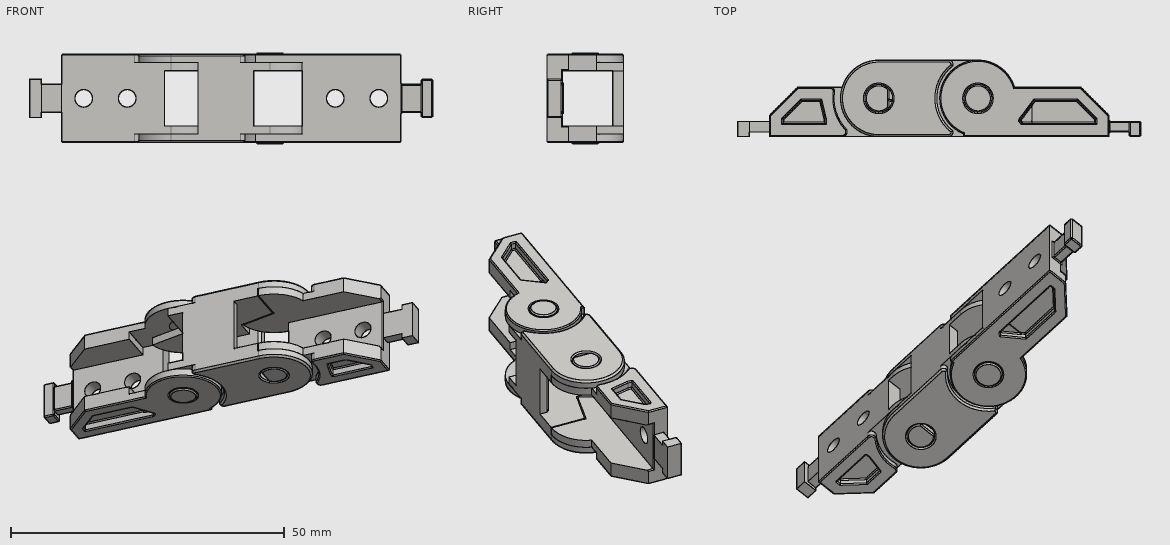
import cadquery as cq
import math


LENGTH = 73.6
HALF_HEIGHT = 8.1
LEAF_SPLIT = 6.55
HALF_OPENING = 5.0

HINGE_RADIUS = 7.0
PIVOT_Y = HINGE_RADIUS
LINK_DEPTH = 2 * HINGE_RADIUS
LEFT_PIVOT_X = 25.75
PIVOT_SPACING = 18.1
RIGHT_PIVOT_X = LEFT_PIVOT_X + PIVOT_SPACING
STOP_ANGLE = 13.0
STOP_GAP = 0.2

PIN_RADIUS = 2.54
PIN_CHAMFER = 0.26
LEFT_PIN_FLAT = 1.85
RIGHT_PIN_PROTRUSION = 0.2

PLATE_END = 5.8
PLATE_DEPTH = 9.05
PLATE_WALL = 2.9
CORNER_CUT = 5.15
EDGE_CHAMFER = 0.2
CHAMFER_ANGLE = 45
LEFT_WALL_END_X = LEFT_PIVOT_X - 1.1
RIGHT_WALL_START_X = RIGHT_PIVOT_X + 5.9
RIGHT_STEP_X = RIGHT_PIVOT_X + 9.85
RIGHT_LEAF_CORNER_X = RIGHT_PIVOT_X - 2.65
LEFT_STEP_RADIUS = 8.2
LEFT_STEP_WALL_X = LEFT_PIVOT_X - 5.8

HOLE_DIAMETER = 3.2
HOLE_END_DISTANCE = 9.85
HOLE_SPACING = 7.95

LINK_WALL = 2.0
LINK_WALL_CHAMFER = 0.5
LINK_EDGE_CHAMFER = 0.4
LINK_WALL_START_X = LEFT_PIVOT_X + 4.9
LINK_WALL_END_X = RIGHT_PIVOT_X - 2.95
LINK_INNER_STEP_X = LEFT_PIVOT_X + 7.15
LINK_STEP_RADIUS = 7.5
LINK_STEP_WALL_X = RIGHT_PIVOT_X - 4.6
STEP_ROUNDING = 0.8

HOOK_HEAD_LENGTH = 2.1
HOOK_HEAD_DEPTH = 2.8
HOOK_HEAD_HEIGHT = 7.0
HOOK_NECK_FRONT = 0.8
HOOK_NECK_HEIGHT = 5.15

POCKET_DEPTH = HALF_HEIGHT - LEAF_SPLIT
POCKET_FRONT = 2.4
POCKET_BACK = 6.6
POCKET_SHOULDER = 3.25
POCKET_END_DISTANCE = 8.25
POCKET_SLANT = POCKET_BACK - POCKET_SHOULDER
LEDGE_HEIGHT = 0.2
LEFT_POCKET_FRONT_X = 16.0
LEFT_POCKET_BACK_X = 15.15
RIGHT_POCKET_FRONT_X = 51.9
RIGHT_POCKET_BACK_X = 54.2
RIGHT_POCKET_TIP_X = 51.45
RIGHT_POCKET_TIP_Y = 2.95
LEFT_POCKET_POINTS = [
    (POCKET_END_DISTANCE, POCKET_FRONT),
    (LEFT_POCKET_FRONT_X, POCKET_FRONT),
    (LEFT_POCKET_FRONT_X, POCKET_SHOULDER),
    (LEFT_POCKET_BACK_X, POCKET_BACK),
    (POCKET_END_DISTANCE + POCKET_SLANT, POCKET_BACK),
    (POCKET_END_DISTANCE, POCKET_SHOULDER),
]
RIGHT_POCKET_POINTS = [
    (RIGHT_POCKET_FRONT_X, POCKET_FRONT),
    (LENGTH - POCKET_END_DISTANCE, POCKET_FRONT),
    (LENGTH - POCKET_END_DISTANCE, POCKET_SHOULDER),
    (LENGTH - POCKET_END_DISTANCE - POCKET_SLANT, POCKET_BACK),
    (RIGHT_POCKET_BACK_X, POCKET_BACK),
    (RIGHT_POCKET_TIP_X, RIGHT_POCKET_TIP_Y),
]


def block(x_range, y_range, z_range):
    """Box between the given limits."""
    size = [high - low for low, high in (x_range, y_range, z_range)]
    return cq.Workplane("XY").box(*size, centered=False).translate((x_range[0], y_range[0], z_range[0]))


def disc(pivot_x, radius, z_low, z_high):
    """Cylinder about a hinge axis."""
    return cq.Workplane("XY", origin=(pivot_x, PIVOT_Y, z_low)).circle(radius).extrude(z_high - z_low)


def stop_sector(pivot_x, gap):
    """Back right sector of an inner leaf, above the sloping stop edge and shrunk by the gap."""
    reach = HINGE_RADIUS + STOP_GAP
    left_x = pivot_x + gap
    fall = math.tan(math.radians(STOP_ANGLE))
    outline = [
        (left_x, PIVOT_Y + gap),
        (pivot_x + reach, PIVOT_Y + gap - fall * reach),
        (pivot_x + reach, LINK_DEPTH),
        (left_x, LINK_DEPTH),
    ]
    base = cq.Workplane("XY", origin=(0, 0, HALF_OPENING))
    return base.polyline(outline).close().extrude(LEAF_SPLIT - HALF_OPENING)


def inner_leaf(pivot_x):
    """Round leaf, without its stop sector."""
    return disc(pivot_x, HINGE_RADIUS, HALF_OPENING, LEAF_SPLIT).cut(stop_sector(pivot_x, 0))


def plate_slab(end_x, inner_x, z_low, z_high):
    """Side wall of a plate from its outer end to inner_x, with the outer back corner cut off."""
    inward = math.copysign(CORNER_CUT, inner_x - end_x)
    outline = [
        (end_x, 0),
        (inner_x, 0),
        (inner_x, PLATE_DEPTH),
        (end_x + inward, PLATE_DEPTH),
        (end_x, PLATE_DEPTH - CORNER_CUT),
    ]
    return cq.Workplane("XY", origin=(0, 0, z_low)).polyline(outline).close().extrude(z_high - z_low)


def round_step(slab, corner_x, corner_y):
    """Round the upright edge of a clearance step at the given corner."""
    corner = cq.selectors.NearestToPointSelector((corner_x, corner_y, (LEAF_SPLIT + HALF_HEIGHT) / 2))
    return slab.edges("|Z").edges(corner).fillet(STEP_ROUNDING)


def pocket_cutter(points, depth):
    """Pocket with a chamfered rim and a chamfered floor edge."""
    top = cq.Workplane("XY", origin=(0, 0, HALF_HEIGHT))
    well = top.polyline(points).close().extrude(-depth).faces("<Z").chamfer(EDGE_CHAMFER)
    rim = cq.Workplane("XY", origin=(0, 0, HALF_HEIGHT)).polyline(points).close().offset2D(EDGE_CHAMFER)
    flare = rim.extrude(-EDGE_CHAMFER, taper=CHAMFER_ANGLE)
    return well.union(flare)


def pin(pivot_x, top):
    """Pin standing on a hinge leaf."""
    return disc(pivot_x, PIN_RADIUS, LEAF_SPLIT, top).faces(">Z").chamfer(PIN_CHAMFER)


def pin_hole(pivot_x):
    """Hole through an outer leaf, with a countersunk rim."""
    bore = disc(pivot_x, PIN_RADIUS, LEAF_SPLIT, HALF_HEIGHT)
    rim = cq.Workplane("XY", origin=(pivot_x, PIVOT_Y, HALF_HEIGHT)).circle(PIN_RADIUS + PIN_CHAMFER)
    return bore.union(rim.extrude(-PIN_CHAMFER, taper=CHAMFER_ANGLE))


def screw_holes(positions):
    """Holes through a plate's front wall."""
    face = cq.Workplane("XZ").pushPoints([(x, 0) for x in positions])
    return face.circle(HOLE_DIAMETER / 2).extrude(-PLATE_WALL)


def end_flare(end_x, inward):
    """Chamfer cutter for a plate's open end; inward is +1 or -1 along X."""
    center_y = PLATE_WALL - EDGE_CHAMFER + PLATE_DEPTH / 2
    opening = cq.Workplane("YZ", origin=(end_x, center_y, 0))
    opening = opening.rect(PLATE_DEPTH, 2 * (HALF_OPENING + EDGE_CHAMFER))
    return opening.extrude(inward * EDGE_CHAMFER, taper=CHAMFER_ANGLE)


def with_mirror(side):
    """Side wall together with its mirror image below Z = 0."""
    return side.union(side.mirror("XY"))


def make_left_hook():
    head = block((0, HOOK_HEAD_LENGTH), (0, HOOK_HEAD_DEPTH), (-HOOK_HEAD_HEIGHT / 2, HOOK_HEAD_HEIGHT / 2))
    neck = block(
        (HOOK_HEAD_LENGTH, PLATE_END),
        (HOOK_NECK_FRONT, HOOK_HEAD_DEPTH),
        (-HOOK_NECK_HEIGHT / 2, HOOK_NECK_HEIGHT / 2),
    )
    return head.union(neck)


def make_right_hook():
    """Mirrored hook with chamfered edges and a flared neck root."""
    plate_end_x = LENGTH - PLATE_END
    head = block(
        (LENGTH - HOOK_HEAD_LENGTH, LENGTH),
        (0, HOOK_HEAD_DEPTH),
        (-HOOK_HEAD_HEIGHT / 2, HOOK_HEAD_HEIGHT / 2),
    ).edges().chamfer(EDGE_CHAMFER)
    neck = block(
        (plate_end_x, LENGTH - HOOK_HEAD_LENGTH),
        (HOOK_NECK_FRONT, HOOK_HEAD_DEPTH),
        (-HOOK_NECK_HEIGHT / 2, HOOK_NECK_HEIGHT / 2),
    ).edges("|X").chamfer(EDGE_CHAMFER)
    root_center = (plate_end_x, (HOOK_NECK_FRONT + HOOK_HEAD_DEPTH) / 2, 0)
    root = cq.Workplane("YZ", origin=root_center).rect(
        HOOK_HEAD_DEPTH - HOOK_NECK_FRONT + 2 * EDGE_CHAMFER, HOOK_NECK_HEIGHT + 2 * EDGE_CHAMFER
    ).extrude(EDGE_CHAMFER, taper=CHAMFER_ANGLE)
    return head.union(neck).union(root)


def make_left_plate():
    outer = plate_slab(PLATE_END, LEFT_STEP_WALL_X, LEAF_SPLIT, HALF_HEIGHT)
    outer = outer.cut(disc(LEFT_PIVOT_X, LEFT_STEP_RADIUS, LEAF_SPLIT, HALF_HEIGHT))
    step_back_x = LEFT_PIVOT_X - math.sqrt(LEFT_STEP_RADIUS**2 - (PLATE_DEPTH - PIVOT_Y) ** 2)
    outer = round_step(outer, LEFT_STEP_WALL_X, 0)
    outer = round_step(outer, step_back_x, PLATE_DEPTH)
    outer = outer.faces(">Z").chamfer(EDGE_CHAMFER)
    outer = outer.cut(pocket_cutter(LEFT_POCKET_POINTS, POCKET_DEPTH))

    inner = plate_slab(PLATE_END, LEFT_PIVOT_X, HALF_OPENING, LEAF_SPLIT)
    inner = inner.union(inner_leaf(LEFT_PIVOT_X))

    flat_x = LEFT_PIVOT_X + LEFT_PIN_FLAT
    flat_cut = block((flat_x, flat_x + PIN_RADIUS), (0, LINK_DEPTH), (LEAF_SPLIT, HALF_HEIGHT))
    flat_pin = disc(LEFT_PIVOT_X, PIN_RADIUS, LEAF_SPLIT, HALF_HEIGHT).cut(flat_cut)
    flat_pin = flat_pin.faces(">Z").chamfer(PIN_CHAMFER)

    wall = block((PLATE_END, LEFT_WALL_END_X), (0, PLATE_WALL), (-HALF_OPENING, HALF_OPENING))
    plate = with_mirror(outer.union(inner).union(flat_pin)).union(wall)
    plate = plate.cut(screw_holes([HOLE_END_DISTANCE, HOLE_END_DISTANCE + HOLE_SPACING]))
    plate = plate.cut(end_flare(PLATE_END, 1))
    return plate.union(make_left_hook())


def make_right_plate():
    plate_end_x = LENGTH - PLATE_END

    outer = plate_slab(plate_end_x, RIGHT_PIVOT_X, LEAF_SPLIT, HALF_HEIGHT)
    outer = outer.union(disc(RIGHT_PIVOT_X, HINGE_RADIUS, LEAF_SPLIT, HALF_HEIGHT))
    leaf_corner = block((RIGHT_LEAF_CORNER_X, RIGHT_PIVOT_X), (0, PIVOT_Y), (LEAF_SPLIT, HALF_HEIGHT))
    outer = outer.union(leaf_corner).faces(">Z").chamfer(EDGE_CHAMFER)
    outer = outer.cut(pin_hole(RIGHT_PIVOT_X))

    thick_part = block((RIGHT_STEP_X, plate_end_x), (0, PLATE_DEPTH), (LEAF_SPLIT, HALF_HEIGHT))
    outer = outer.cut(pocket_cutter(RIGHT_POCKET_POINTS, POCKET_DEPTH - LEDGE_HEIGHT))
    outer = outer.cut(pocket_cutter(RIGHT_POCKET_POINTS, POCKET_DEPTH).intersect(thick_part))

    inner = plate_slab(plate_end_x, RIGHT_STEP_X, HALF_OPENING, LEAF_SPLIT)

    wall = block((RIGHT_WALL_START_X, plate_end_x), (0, PLATE_WALL), (-LEAF_SPLIT, LEAF_SPLIT))
    plate = with_mirror(outer.union(inner)).union(wall)
    last_hole_x = LENGTH - HOLE_END_DISTANCE
    plate = plate.cut(screw_holes([last_hole_x - HOLE_SPACING, last_hole_x]))
    plate = plate.cut(end_flare(plate_end_x, -1))
    return plate.union(make_right_hook())


def make_link():
    outer = block((LEFT_PIVOT_X, LINK_STEP_WALL_X), (0, LINK_DEPTH), (LEAF_SPLIT, HALF_HEIGHT))
    outer = outer.union(disc(LEFT_PIVOT_X, HINGE_RADIUS, LEAF_SPLIT, HALF_HEIGHT))
    outer = outer.cut(disc(RIGHT_PIVOT_X, LINK_STEP_RADIUS, LEAF_SPLIT, HALF_HEIGHT))
    for corner_y in (0, LINK_DEPTH):
        outer = round_step(outer, LINK_STEP_WALL_X, corner_y)
    outer = outer.faces(">Z").chamfer(LINK_EDGE_CHAMFER)
    outer = outer.cut(pin_hole(LEFT_PIVOT_X))

    inner = block((LINK_INNER_STEP_X, RIGHT_PIVOT_X), (0, LINK_DEPTH), (HALF_OPENING, LEAF_SPLIT))
    inner = inner.union(stop_sector(LEFT_PIVOT_X, STOP_GAP)).union(inner_leaf(RIGHT_PIVOT_X))
    right_pin = pin(RIGHT_PIVOT_X, HALF_HEIGHT + RIGHT_PIN_PROTRUSION)
    link = with_mirror(outer.union(inner).union(right_pin))

    wall_x = (LINK_WALL_START_X, LINK_WALL_END_X)
    wall_z = (-LEAF_SPLIT, LEAF_SPLIT)
    front = block(wall_x, (0, LINK_WALL), wall_z).edges("<X and >Y").chamfer(LINK_WALL_CHAMFER)
    back = front.mirror("XZ", (0, PIVOT_Y, 0))
    return link.union(front).union(back)


left_plate = make_left_plate()
link = make_link()
right_plate = make_right_plate()

result = cq.Compound.makeCompound([body.solids().val() for body in (left_plate, link, right_plate)])